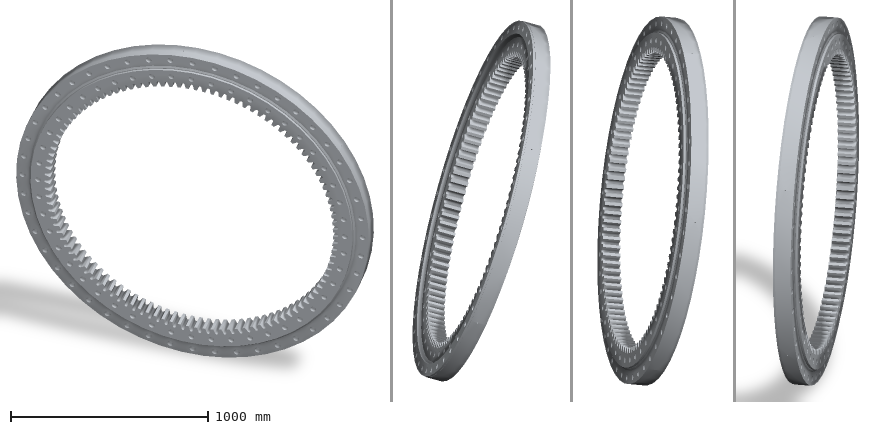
import cadquery as cq
import math


TOTAL_WIDTH = 110.0
OUTER_RING_WIDTH = 92.0
INNER_RING_WIDTH = 92.0
BACK_Y = TOTAL_WIDTH / 2
FRONT_Y = -TOTAL_WIDTH / 2
OUTER_FRONT_Y = BACK_Y - OUTER_RING_WIDTH
INNER_BACK_Y = FRONT_Y + INNER_RING_WIDTH

OUTER_RADIUS = 935.0
REGISTER_STEP = 2.0
REGISTER_WIDTH = 11.0
OUTER_BORE_RADIUS = 865.0

INNER_OUTSIDE_RADIUS = 853.0

TOOTH_COUNT = 108
TOOTH_TIP_RADIUS = 750.0
TOOTH_ROOT_RADIUS = 780.0
FLANK_END_RADIUS = 772.0
SPACE_TIP_WIDTH = 28.0
SPACE_ROOT_WIDTH = 17.0

BOLT_COUNT = 48
BOLT_HOLE_DIAMETER = 30.0
OUTER_BOLT_RADIUS = 901.0
INNER_BOLT_RADIUS = 813.0

GREASE_COUNT = 6
GREASE_HOLE_DIAMETER = 5.0
GREASE_OVERRUN = 19.0
GREASE_START_ANGLE = -360 / BOLT_COUNT / 2
GREASE_Y = (BACK_Y + OUTER_FRONT_Y) / 2

SEAL_LIP_HEIGHT = 5.0
SEAL_LIP_RADIUS = 856.0
SEAL_DEPTH = 10.0


def ring_point(radius, angle):
    """Point in the XZ plane on a circle about the bearing axis; the angle is in degrees."""
    turn = math.radians(angle)
    return radius * math.sin(turn), radius * math.cos(turn)


def revolved(profile):
    """Solid of revolution about Y from (radius, y) points, with its seam at the top (+Z)."""
    outline = [(y, radius) for radius, y in profile]
    return cq.Workplane("YZ").polyline(outline).close().revolve(360, (0, 0), (1, 0))


def bolt_holes(circle_radius):
    """Through holes parallel to the bearing axis, evenly spaced on one bolt circle."""
    face = cq.Plane(origin=(0, FRONT_Y, 0), xDir=(-1, 0, 0), normal=(0, 1, 0))
    return (
        cq.Workplane(face)
        .polarArray(circle_radius, 90, 360, BOLT_COUNT)
        .circle(BOLT_HOLE_DIAMETER / 2)
        .extrude(TOTAL_WIDTH)
    )


def grease_hole(angle):
    """Radial hole from the rim of the outer ring to its bore."""
    x, z = ring_point(1, angle)
    outward = cq.Vector(x, 0, z)
    start = outward * (OUTER_BORE_RADIUS - GREASE_OVERRUN) + cq.Vector(0, GREASE_Y, 0)
    length = OUTER_RADIUS - OUTER_BORE_RADIUS + 2 * GREASE_OVERRUN
    return cq.Solid.makeCylinder(GREASE_HOLE_DIAMETER / 2, length, start, outward)


def make_outer_ring():
    register_radius = OUTER_RADIUS - REGISTER_STEP
    register_y = BACK_Y - REGISTER_WIDTH
    ring = revolved([
        (OUTER_BORE_RADIUS, OUTER_FRONT_Y),
        (OUTER_RADIUS, OUTER_FRONT_Y),
        (OUTER_RADIUS, register_y),
        (register_radius, register_y),
        (register_radius, BACK_Y),
        (OUTER_BORE_RADIUS, BACK_Y),
    ])
    ring = ring.cut(bolt_holes(OUTER_BOLT_RADIUS))
    for i in range(GREASE_COUNT):
        ring = ring.cut(cq.Workplane(grease_hole(GREASE_START_ANGLE + i * 360 / GREASE_COUNT)))
    return ring


def gear_opening():
    """Opening inside the gear: the tip circle with a round-bottomed space between teeth."""
    pitch = 360 / TOOTH_COUNT
    tip_half = math.degrees(SPACE_TIP_WIDTH / 2 / TOOTH_TIP_RADIUS)
    root_half = math.degrees(SPACE_ROOT_WIDTH / 2 / FLANK_END_RADIUS)
    outline = cq.Workplane("XZ", origin=(0, TOTAL_WIDTH, 0))
    outline = outline.moveTo(*ring_point(TOOTH_TIP_RADIUS, -tip_half))
    for i in range(TOOTH_COUNT):
        middle = i * pitch
        outline = outline.lineTo(*ring_point(FLANK_END_RADIUS, middle - root_half))
        outline = outline.threePointArc(
            ring_point(TOOTH_ROOT_RADIUS, middle),
            ring_point(FLANK_END_RADIUS, middle + root_half),
        )
        outline = outline.lineTo(*ring_point(TOOTH_TIP_RADIUS, middle + tip_half))
        outline = outline.threePointArc(
            ring_point(TOOTH_TIP_RADIUS, middle + pitch / 2),
            ring_point(TOOTH_TIP_RADIUS, middle + pitch - tip_half),
        )
    return outline.close().extrude(2 * TOTAL_WIDTH)


def make_inner_ring():
    blank = revolved([
        (0, FRONT_Y),
        (INNER_OUTSIDE_RADIUS, FRONT_Y),
        (INNER_OUTSIDE_RADIUS, INNER_BACK_Y),
        (0, INNER_BACK_Y),
    ])
    return blank.cut(gear_opening()).cut(bolt_holes(INNER_BOLT_RADIUS))


def make_seal():
    return revolved([
        (INNER_OUTSIDE_RADIUS, OUTER_FRONT_Y - SEAL_LIP_HEIGHT),
        (SEAL_LIP_RADIUS, OUTER_FRONT_Y - SEAL_LIP_HEIGHT),
        (OUTER_BORE_RADIUS, OUTER_FRONT_Y),
        (OUTER_BORE_RADIUS, OUTER_FRONT_Y + SEAL_DEPTH),
        (INNER_OUTSIDE_RADIUS, OUTER_FRONT_Y + SEAL_DEPTH),
    ])


outer_ring = make_outer_ring()
inner_ring = make_inner_ring()
seal = make_seal()

result = cq.Compound.makeCompound([outer_ring.val(), inner_ring.val(), seal.val()])